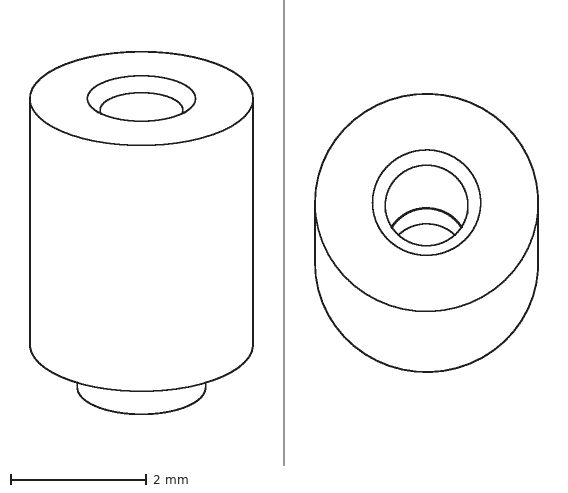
import cadquery as cq

total_height = 4.7
body_diameter = 3.3
peg_diameter = 1.9
peg_height = 0.7
hole_diameter = 1.22
hole_depth = 3.0
pilot_diameter = 1.2
countersink_diameter = 1.6

body_height = total_height - peg_height
pilot_depth = body_height
countersink_depth = (countersink_diameter - hole_diameter) / 2

peg = cq.Workplane("XY").circle(peg_diameter / 2).extrude(peg_height)
body = (
    cq.Workplane("XY")
    .workplane(offset=peg_height)
    .circle(body_diameter / 2)
    .extrude(body_height)
)


def blind_hole(diameter, depth):
    """Cylinder of the given depth, reaching down from the top face."""
    return (
        cq.Workplane("XY")
        .workplane(offset=total_height - depth)
        .circle(diameter / 2)
        .extrude(depth)
    )


hole = blind_hole(hole_diameter, hole_depth).union(blind_hole(pilot_diameter, pilot_depth))

countersink = cq.Workplane("XY").add(
    cq.Solid.makeCone(
        hole_diameter / 2,
        countersink_diameter / 2,
        countersink_depth,
        pnt=cq.Vector(0, 0, total_height - countersink_depth),
    )
)

result = peg.union(body).cut(hole).cut(countersink)